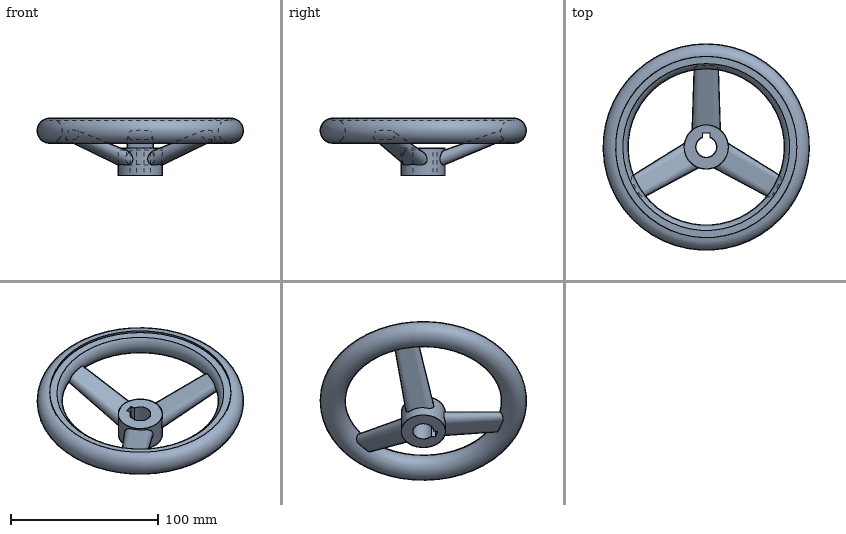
import cadquery as cq
import math

outer_radius = 70.0
rim_section_radius = 8.5
rim_center_radius = outer_radius - rim_section_radius
total_height = 39.0
rim_center_z = total_height - rim_section_radius
step_depth = 1.5

hub_radius = 15.0
hub_height = 18.8
bore_radius = 7.0
key_width = 5.0
key_reach = 9.4

spoke_count = 3
spoke_flat_width = 9.8
spoke_start_z = 6.9
spoke_start_thickness = 10.4
spoke_end_thickness = 6.3
first_spoke_angle = 90.0


def make_rim():
    ring = (
        cq.Workplane("YZ")
        .center(rim_center_radius, rim_center_z)
        .circle(rim_section_radius)
        .revolve(360, (-rim_center_radius, 0), (-rim_center_radius, 1))
    )
    step = (
        cq.Workplane("XY")
        .workplane(offset=total_height - step_depth)
        .circle(rim_center_radius)
        .extrude(2 * step_depth)
    )
    return ring.cut(step)


def make_spoke(angle):
    rise = rim_center_z - spoke_start_z
    length = math.hypot(rim_center_radius, rise)
    plane = cq.Plane(
        origin=(0, 0, spoke_start_z),
        xDir=(0, 1, 0),
        normal=(rim_center_radius, 0, rise),
    )
    spoke = (
        cq.Workplane(plane)
        .slot2D(spoke_flat_width + spoke_start_thickness, spoke_start_thickness)
        .workplane(offset=length)
        .slot2D(spoke_flat_width + spoke_end_thickness, spoke_end_thickness)
        .loft(ruled=True)
    )
    return spoke.rotate((0, 0, 0), (0, 0, 1), angle)


def make_bore():
    bore = cq.Workplane("XY").circle(bore_radius).extrude(total_height)
    keyway = (
        cq.Workplane("XY")
        .center(0, key_reach / 2)
        .rect(key_width, key_reach)
        .extrude(total_height)
    )
    return bore.union(keyway)


wheel = make_rim().union(cq.Workplane("XY").circle(hub_radius).extrude(hub_height))
for index in range(spoke_count):
    wheel = wheel.union(make_spoke(first_spoke_angle + index * 360 / spoke_count))

result = wheel.cut(make_bore())